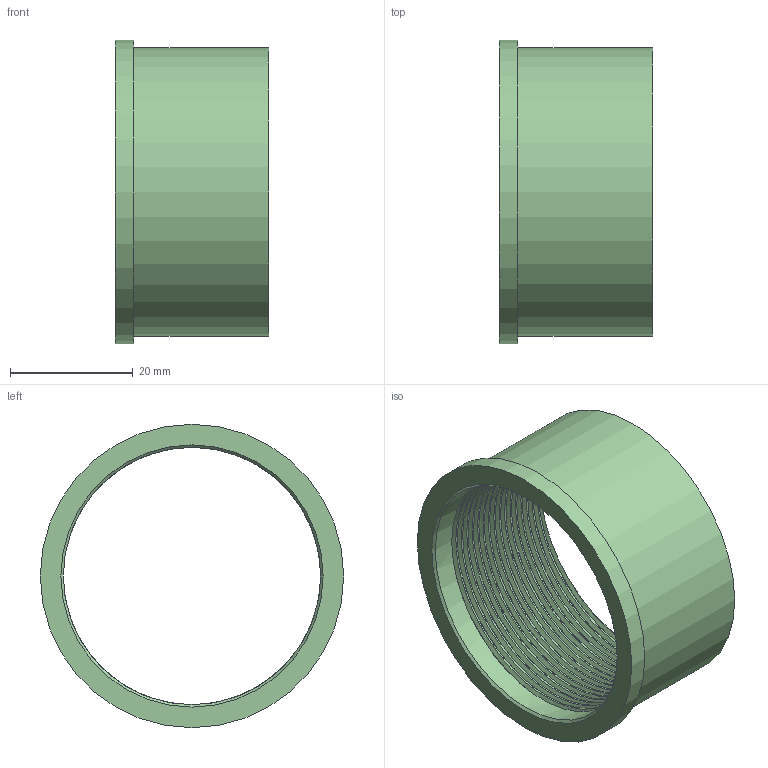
import cadquery as cq
import math

length = 25.0
body_diameter = 47.0
flange_diameter = 49.5
flange_thickness = 3.0
bore_diameter = 42.0
entry_chamfer = 0.4

pitch = 1.25
lead_in_pitches = 3
crest_width = pitch / 4
root_width = pitch / 8
flank_angle = 30.0
thread_start = lead_in_pitches * pitch
start_angle = 180.0
groove_overlap = 0.2
end_overrun = pitch
untrimmed_length = length + 2 * end_overrun


def make_sleeve():
    body = cq.Workplane("YZ").circle(body_diameter / 2).extrude(untrimmed_length)
    flange = cq.Workplane("YZ").circle(flange_diameter / 2).extrude(flange_thickness)
    bore = cq.Workplane("YZ").circle(bore_diameter / 2).extrude(untrimmed_length)
    sleeve = body.union(flange).cut(bore)
    return sleeve.faces("<X").edges(cq.selectors.RadiusNthSelector(0)).chamfer(entry_chamfer)


def make_thread_cutter():
    """Trapezoid swept along a helix, open toward the axis."""
    bore_radius = bore_diameter / 2
    flank_slope = math.tan(math.radians(flank_angle))
    mouth_width = pitch - crest_width
    depth = (mouth_width - root_width) / 2 / flank_slope
    inner_half = mouth_width / 2 + groove_overlap * flank_slope
    helix = cq.Wire.makeHelix(pitch, length + end_overrun - thread_start, bore_radius)
    cutter = (
        cq.Workplane("XZ")
        .moveTo(bore_radius - groove_overlap, -inner_half)
        .lineTo(bore_radius + depth, -root_width / 2)
        .lineTo(bore_radius + depth, root_width / 2)
        .lineTo(bore_radius - groove_overlap, inner_half)
        .close()
        .sweep(cq.Workplane(helix), isFrenet=True)
    )
    return (
        cutter.rotate((0, 0, 0), (0, 1, 0), 90)
        .rotate((0, 0, 0), (1, 0, 0), start_angle)
        .translate((thread_start, 0, 0))
    )


def make_end_trimmer():
    """Block that holds everything past the far end."""
    return (
        cq.Workplane("YZ")
        .workplane(offset=length)
        .rect(2 * flange_diameter, 2 * flange_diameter)
        .extrude(2 * untrimmed_length)
    )


threaded_sleeve = make_sleeve().cut(make_thread_cutter())
result = threaded_sleeve.cut(make_end_trimmer())